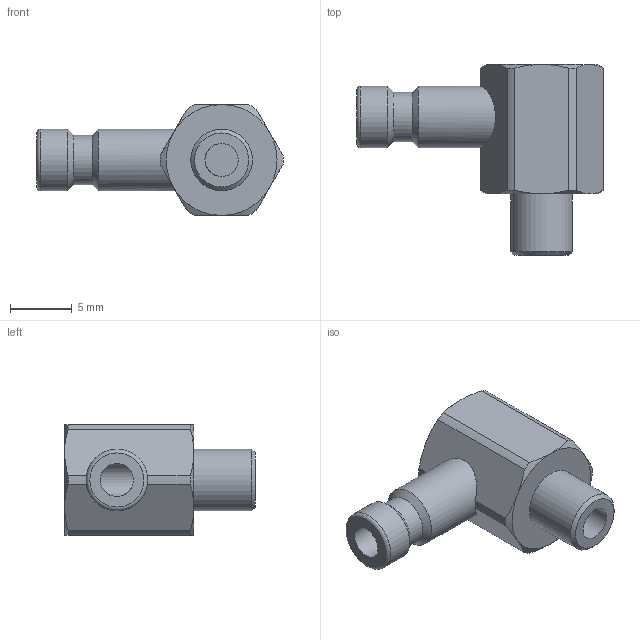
import cadquery as cq
import math


across_flats = 9.0
corner_diameter = 10.0
body_length = 10.5
nipple_to_back = 4.25
end_chamfer_angle = 30.0
back_y = nipple_to_back
front_y = back_y - body_length

stub_diameter = 5.0
stub_length = 5.0
stub_chamfer = 0.3
stub_tip_y = front_y - stub_length

nipple_diameter = 5.0
nipple_reach = 15.0
nipple_tip_round = 0.3
head_length = 2.5
groove_diameter = 4.0
groove_floor_length = 1.5
groove_flank = (nipple_diameter - groove_diameter) / 2

bore_diameter = 2.7


def y_cylinder(diameter, start_y, end_y):
    """Cylinder on the body axis between two Y positions."""
    return cq.Workplane("XZ", origin=(0, end_y, 0)).circle(diameter / 2).extrude(end_y - start_y)


def make_turned_blank():
    """Round blank with coned ends that meet the hexagon flats."""
    corner_radius = corner_diameter / 2
    face_radius = across_flats / 2
    cone_length = (corner_radius - face_radius) * math.tan(math.radians(end_chamfer_angle))
    profile = (
        cq.Workplane("XY")
        .moveTo(0, front_y)
        .lineTo(face_radius, front_y)
        .lineTo(corner_radius, front_y + cone_length)
        .lineTo(corner_radius, back_y - cone_length)
        .lineTo(face_radius, back_y)
        .lineTo(0, back_y)
        .close()
    )
    return profile.revolve(360, (0, 0, 0), (0, 1, 0))


def make_body():
    across_corners = across_flats / math.cos(math.pi / 6)
    hexagon = (
        cq.Workplane("XZ", origin=(0, back_y, 0))
        .polygon(6, across_corners)
        .extrude(body_length)
    )
    return hexagon.intersect(make_turned_blank())


def make_stub():
    stub = y_cylinder(stub_diameter, stub_tip_y, 0)
    return stub.faces("<Y").edges().chamfer(stub_chamfer)


def make_nipple():
    """Nipple turned about X, running from its tip to the body axis."""
    nipple_radius = nipple_diameter / 2
    groove_radius = groove_diameter / 2
    tip_x = -nipple_reach
    head_end_x = tip_x + head_length
    floor_start_x = head_end_x + groove_flank
    floor_end_x = floor_start_x + groove_floor_length
    shank_start_x = floor_end_x + groove_flank
    profile = (
        cq.Workplane("XY")
        .moveTo(tip_x, 0)
        .lineTo(tip_x, nipple_radius)
        .lineTo(head_end_x, nipple_radius)
        .lineTo(floor_start_x, groove_radius)
        .lineTo(floor_end_x, groove_radius)
        .lineTo(shank_start_x, nipple_radius)
        .lineTo(0, nipple_radius)
        .lineTo(0, 0)
        .close()
    )
    nipple = profile.revolve(360, (0, 0, 0), (1, 0, 0))
    return nipple.faces("<X").edges().fillet(nipple_tip_round)


def make_bores():
    """Stub bore, flat-ended at the far wall of the nipple bore that meets it."""
    bore_radius = bore_diameter / 2
    stub_bore = y_cylinder(bore_diameter, stub_tip_y, bore_radius)
    nipple_bore = (
        cq.Workplane("YZ", origin=(-nipple_reach, 0, 0))
        .circle(bore_radius)
        .extrude(nipple_reach)
    )
    return stub_bore.union(nipple_bore)


result = make_body().union(make_stub()).union(make_nipple()).cut(make_bores())